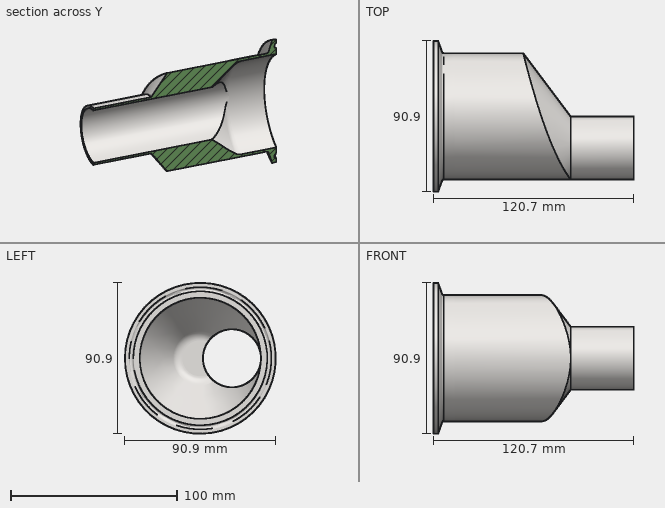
import cadquery as cq
import math


total_length = 120.65
outlet_start = 82.55
cone_start = 53.975

body_radius = 76.2 / 2
body_bore_radius = 72.9 / 2
outlet_radius = 38.1 / 2
outlet_bore_radius = 34.8 / 2
outlet_offset = outlet_radius - body_radius

ferrule_length = 12.7
flange_radius = 90.91 / 2
rim_width = 2.8
flange_back_angle = 20.0
flange_neck_fillet = 0.9
rim_front_fillet = 0.4

groove_radius = 83.1 / 2
groove_half_width = 1.3
groove_depth = 1.2
groove_shoulder_fillet = 0.4

bore_length = 23.5
cavity_fillet = 6.35
cavity_half_angle = 32.0
cavity_flat_radius = 10.8


def x_cylinder(radius, start, end, y=0.0):
    """Solid cylinder along X whose axis passes through the given Y."""
    return cq.Workplane("YZ", origin=(start, y, 0)).circle(radius).extrude(end - start)


def revolve_about_x(profile):
    """Turn a closed (x, radius) profile about the X axis."""
    return profile.close().revolve(360, (0, 0, 0), (1, 0, 0))


def make_ferrule():
    """Solid flange with a sloped back that runs into the collar."""
    rise = flange_radius - body_radius
    back_tan = math.tan(math.radians(flange_back_angle))
    neck_x = rim_width + rise * back_tan
    profile = (
        cq.Workplane("XY")
        .lineTo(0, flange_radius)
        .lineTo(rim_width, flange_radius)
        .lineTo(neck_x, body_radius)
        .lineTo(ferrule_length, body_radius)
        .lineTo(ferrule_length, 0)
    )
    ferrule = revolve_about_x(profile)
    ferrule = ferrule.faces("<X").edges().fillet(rim_front_fillet)
    neck_edge = cq.NearestToPointSelector((neck_x, 0, 0))
    return ferrule.edges(neck_edge).fillet(flange_neck_fillet)


def make_body():
    """Large cylinder trimmed by a cone that runs down to the outlet tube."""
    trim_radius = outlet_radius - 2 * outlet_offset
    body = x_cylinder(body_radius, ferrule_length, outlet_start)
    trim = (
        cq.Workplane("XY")
        .lineTo(0, trim_radius)
        .lineTo(cone_start, trim_radius)
        .lineTo(outlet_start, outlet_radius)
        .lineTo(outlet_start, 0)
    )
    trim = revolve_about_x(trim).translate((0, outlet_offset, 0))
    return body.intersect(trim)


def make_cavity():
    """Bore, rounded into a cone, rounded again into a flat end."""
    angle = math.radians(cavity_half_angle)
    half_angle = angle / 2
    half_end_turn = (angle + math.pi / 2) / 2
    radius = cavity_fillet

    cone_mouth_x = bore_length + radius * math.sin(angle)
    cone_mouth_radius = body_bore_radius - radius * (1 - math.cos(angle))
    cone_end_radius = cavity_flat_radius + radius * math.cos(angle)
    cone_end_x = cone_mouth_x + (cone_mouth_radius - cone_end_radius) / math.tan(angle)
    flat_x = cone_end_x + radius * (1 - math.sin(angle))
    mouth_mid = (
        bore_length + radius * math.sin(half_angle),
        body_bore_radius - radius * (1 - math.cos(half_angle)),
    )
    end_mid = (
        flat_x - radius * (1 - math.sin(half_end_turn)),
        cavity_flat_radius + radius * math.cos(half_end_turn),
    )
    profile = (
        cq.Workplane("XY")
        .lineTo(0, body_bore_radius)
        .lineTo(bore_length, body_bore_radius)
        .threePointArc(mouth_mid, (cone_mouth_x, cone_mouth_radius))
        .lineTo(cone_end_x, cone_end_radius)
        .threePointArc(end_mid, (flat_x, cavity_flat_radius))
        .lineTo(flat_x, 0)
    )
    return revolve_about_x(profile)


def make_groove():
    """Ring that cuts the gasket groove."""
    profile = (
        cq.Workplane("XY")
        .moveTo(0, groove_radius - groove_half_width)
        .threePointArc((groove_depth, groove_radius), (0, groove_radius + groove_half_width))
    )
    return revolve_about_x(profile)


def round_groove_shoulders(part):
    """Round both rims of the groove in the ferrule face."""
    for side in (-1, 1):
        rim = groove_radius + side * groove_half_width
        face_edges = part.faces("<X").edges("%CIRCLE").vals()
        shoulder = [e for e in face_edges if math.isclose(e.radius(), rim, abs_tol=1e-3)]
        part = part.newObject(shoulder).fillet(groove_shoulder_fillet)
    return part


outlet_tube = x_cylinder(outlet_radius, outlet_start, total_length, outlet_offset)
outlet_bore = x_cylinder(outlet_bore_radius, bore_length, total_length, outlet_offset)

shell = make_ferrule().union(make_body()).union(outlet_tube)
shell = shell.cut(make_cavity()).cut(outlet_bore).cut(make_groove())
result = round_groove_shoulders(shell)